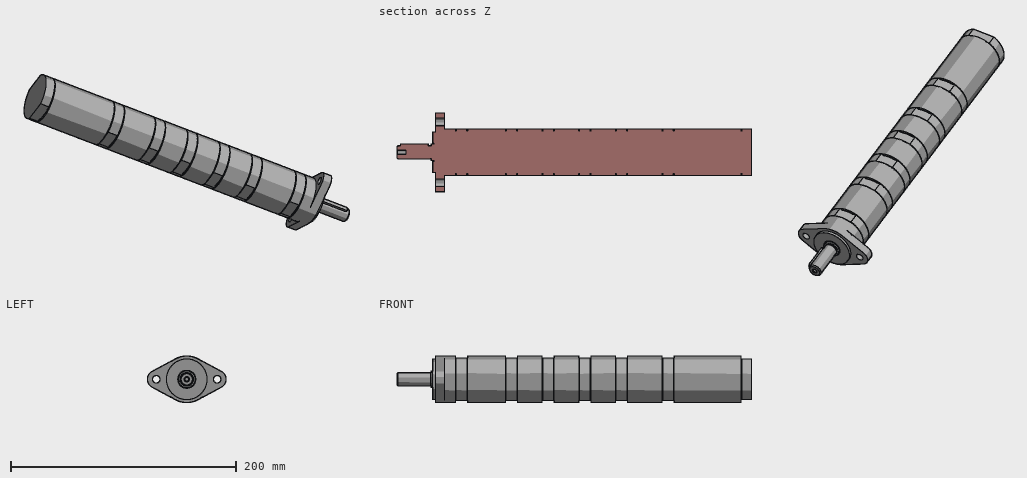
import cadquery as cq
import math

total_length = 314.2
body_diameter = 41.5

shaft_diameter = 12.0
shaft_chamfer = 1.0
neck_diameter = 11.8
neck_start = 29.8
key_width = 4.0
key_height = 4.0
key_start = 3.0
key_length = 25.0
key_proud = 1.5
seal_diameter = 14.95
seal_start = 30.4
seal_recess_diameter = 16.0
seal_recess_depth = 1.0
pilot_diameter = 36.0
pilot_start = 31.7
pilot_length = 2.5
flange_start = pilot_start + pilot_length
flange_thickness = 8.0

center_hole_diameter = 3.24
center_hole_depth = 8.0
countersink_diameter = 4.7

flange_width = 69.94
ear_radius = 8.0
mount_hole_diameter = 6.5
mount_hole_spacing = 53.94

ring_starts = (52.05, 96.25, 128.75, 161.25, 193.75, 235.0)
ring_length = 10.5
ring_across_flats = 38.0
groove_width = 0.5
groove_diameter = 37.99

rear_cap_length = 9.2
rear_across_flats = 36.0

body_radius = body_diameter / 2


def cylinder_x(start, end, diameter):
    """Round bar along X between two stations."""
    return cq.Workplane("YZ", origin=(start, 0, 0)).circle(diameter / 2).extrude(end - start)


def make_shaft():
    """Chamfered shaft with a countersunk centre hole and a shallow neck ahead of the seal."""
    shaft = cylinder_x(0, neck_start, shaft_diameter).faces("<X").chamfer(shaft_chamfer)
    shaft = shaft.union(cylinder_x(neck_start, flange_start, neck_diameter))
    shaft = shaft.cut(cylinder_x(0, center_hole_depth, center_hole_diameter))
    countersink_depth = (countersink_diameter - center_hole_diameter) / 2
    countersink = (
        cq.Workplane("YZ")
        .circle(countersink_diameter / 2)
        .workplane(offset=countersink_depth)
        .circle(center_hole_diameter / 2)
        .loft(ruled=True)
    )
    return shaft.cut(countersink)


def make_key():
    """Round-ended key let into the +Y side of the shaft."""
    key_top = shaft_diameter / 2 + key_proud
    return (
        cq.Workplane("XZ", origin=(0, key_top, 0))
        .center(key_start + key_length / 2, 0)
        .slot2D(key_length, key_width)
        .extrude(key_height)
    )


def make_pilot():
    """Pilot boss with the seal standing out of a slightly larger recess."""
    recess_floor = pilot_start + seal_recess_depth
    pilot = cylinder_x(pilot_start, flange_start, pilot_diameter)
    pilot = pilot.cut(cylinder_x(pilot_start, recess_floor, seal_recess_diameter))
    return pilot.union(cylinder_x(seal_start, flange_start, seal_diameter))


def make_flange_ear(side):
    """Rounded flange ear on the +Y (side 1) or -Y (side -1) of the body, with straight tangent edges."""
    ear_center = flange_width / 2 - ear_radius
    tilt = math.asin((body_radius - ear_radius) / ear_center)
    root_y = side * body_radius * math.sin(tilt)
    root_z = body_radius * math.cos(tilt)
    tip_y = side * (ear_center + ear_radius * math.sin(tilt))
    tip_z = ear_radius * math.cos(tilt)
    ear = (
        cq.Workplane("YZ", origin=(flange_start, 0, 0))
        .moveTo(root_y, root_z)
        .lineTo(tip_y, tip_z)
        .threePointArc((side * flange_width / 2, 0), (tip_y, -tip_z))
        .lineTo(root_y, -root_z)
        .close()
        .extrude(flange_thickness)
    )
    mount_hole = (
        cq.Workplane("YZ", origin=(flange_start, side * mount_hole_spacing / 2, 0))
        .circle(mount_hole_diameter / 2)
        .extrude(flange_thickness)
    )
    return ear.cut(mount_hole)


def cut_flats(part, start, length, across_flats):
    """Cut a pair of parallel flats into the +Z and -Z sides of the body."""
    depth = body_radius - across_flats / 2
    for side in (1, -1):
        slab = cq.Workplane("XY").box(length, body_diameter, depth)
        middle = (start + length / 2, 0, side * (across_flats + depth) / 2)
        part = part.cut(slab.translate(middle))
    return part


def cut_groove(part, start):
    """Turn a narrow groove into the outside of the body."""
    end = start + groove_width
    groove = cylinder_x(start, end, body_diameter).cut(cylinder_x(start, end, groove_diameter))
    return part.cut(groove)


def make_body():
    """Round body with its grooved stage rings and flatted rear cap."""
    body = cylinder_x(flange_start, total_length, body_diameter)
    for ring_start in ring_starts:
        body = cut_flats(body, ring_start, ring_length, ring_across_flats)
        body = cut_groove(body, ring_start)
        body = cut_groove(body, ring_start + ring_length - groove_width)
    rear_cap_start = total_length - rear_cap_length
    body = cut_groove(body, rear_cap_start)
    return cut_flats(body, rear_cap_start, rear_cap_length, rear_across_flats)


result = make_body()
for ear_side in (1, -1):
    result = result.union(make_flange_ear(ear_side))
result = result.union(make_pilot()).union(make_shaft()).union(make_key())